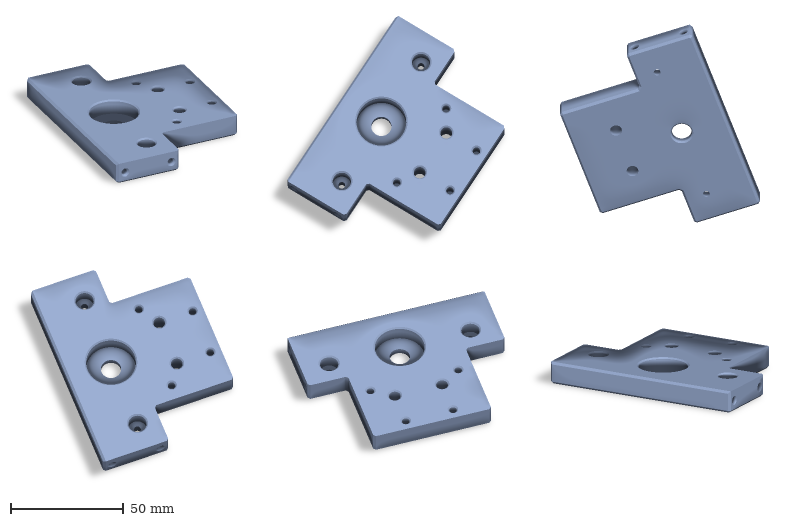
import cadquery as cq
import math

WIDTH = 92.0
DEPTH = 69.0
THICKNESS = 10.0
TONGUE_WIDTH = 55.0
TONGUE_LENGTH = 38.0
BAR_DEPTH = DEPTH - TONGUE_LENGTH
EDGE_CHAMFER = 1.0

BORE_LINE_Y = 21.0
CENTER_BORE_DIAMETER = 22.2
CENTER_BORE_DEPTH = 6.8
CENTER_HOLE_DIAMETER = 9.0
SCREW_SPACING = 66.1
SCREW_BORE_DIAMETER = 8.2
SCREW_BORE_DEPTH = 6.0
SCREW_HOLE_DIAMETER = 3.0

TONGUE_HOLE_SPACING = 22.1
CLEARANCE_DIAMETER = 5.2
CLEARANCE_Y = 48.1
BLIND_DEPTH = 6.4
REAR_BLIND_DIAMETER = 3.4
REAR_BLIND_Y = 64.0
OUTER_BLIND_DIAMETER = 3.4
OUTER_BLIND_SPACING = 41.0
OUTER_BLIND_Y = 42.0
HOLE_CHAMFER = 0.6

END_HOLE_DIAMETER = 2.5
END_HOLE_DEPTH = 6.0
END_HOLE_CHAMFER = 0.8
END_HOLE_YS = (4.05, 27.0)
DRILL_POINT_ANGLE = 118.0


def make_plate():
    """T-shaped plate with chamfered corners, underside edges and front top edge."""
    bar = cq.Workplane("XY").box(WIDTH, BAR_DEPTH, THICKNESS, centered=(True, False, False))
    tongue = cq.Workplane("XY").box(TONGUE_WIDTH, DEPTH, THICKNESS, centered=(True, False, False))
    plate = bar.union(tongue).edges("|Z").chamfer(EDGE_CHAMFER)
    plate = plate.faces("<Z").edges().chamfer(EDGE_CHAMFER)
    return plate.faces("<Y").edges(">Z").chamfer(EDGE_CHAMFER)


def mirrored_pair(spacing, y):
    return [(side * spacing / 2, y) for side in (-1, 1)]


def top_hole(diameter, depth, x, y):
    """Flat-bottomed hole from the top face with a chamfered mouth."""
    radius = diameter / 2
    profile = [
        (0, 0),
        (radius + HOLE_CHAMFER, 0),
        (radius, -HOLE_CHAMFER),
        (radius, -depth),
        (0, -depth),
    ]
    cutter = cq.Workplane("XZ").polyline(profile).close().revolve(360, (0, 0), (0, 1))
    return cutter.translate((x, y, THICKNESS))


def through_hole(diameter, x, y):
    return cq.Workplane("XY").center(x, y).circle(diameter / 2).extrude(THICKNESS)


def end_hole(side, y):
    """Drilled hole with a conical bottom, entering the bar end on the given side."""
    radius = END_HOLE_DIAMETER / 2
    tip_length = radius / math.tan(math.radians(DRILL_POINT_ANGLE / 2))
    face_x = side * WIDTH / 2
    profile = [
        (face_x, 0),
        (face_x, radius + END_HOLE_CHAMFER),
        (face_x - side * END_HOLE_CHAMFER, radius),
        (face_x - side * END_HOLE_DEPTH, radius),
        (face_x - side * (END_HOLE_DEPTH + tip_length), 0),
    ]
    cutter = cq.Workplane("XZ").polyline(profile).close().revolve(360, (0, 0), (1, 0))
    return cutter.translate((0, y, THICKNESS / 2))


result = make_plate()

result = result.cut(top_hole(CENTER_BORE_DIAMETER, CENTER_BORE_DEPTH, 0, BORE_LINE_Y))
result = result.cut(through_hole(CENTER_HOLE_DIAMETER, 0, BORE_LINE_Y))
underside_mouth = cq.Workplane("XY").center(0, BORE_LINE_Y).circle(CENTER_HOLE_DIAMETER / 2 + HOLE_CHAMFER)
result = result.cut(underside_mouth.extrude(HOLE_CHAMFER, taper=45))

for x, y in mirrored_pair(SCREW_SPACING, BORE_LINE_Y):
    result = result.cut(top_hole(SCREW_BORE_DIAMETER, SCREW_BORE_DEPTH, x, y))
    result = result.cut(through_hole(SCREW_HOLE_DIAMETER, x, y))

for x, y in mirrored_pair(TONGUE_HOLE_SPACING, CLEARANCE_Y):
    result = result.cut(top_hole(CLEARANCE_DIAMETER, THICKNESS, x, y))
for x, y in mirrored_pair(TONGUE_HOLE_SPACING, REAR_BLIND_Y):
    result = result.cut(top_hole(REAR_BLIND_DIAMETER, BLIND_DEPTH, x, y))
for x, y in mirrored_pair(OUTER_BLIND_SPACING, OUTER_BLIND_Y):
    result = result.cut(top_hole(OUTER_BLIND_DIAMETER, BLIND_DEPTH, x, y))

for side in (-1, 1):
    for y in END_HOLE_YS:
        result = result.cut(end_hole(side, y))